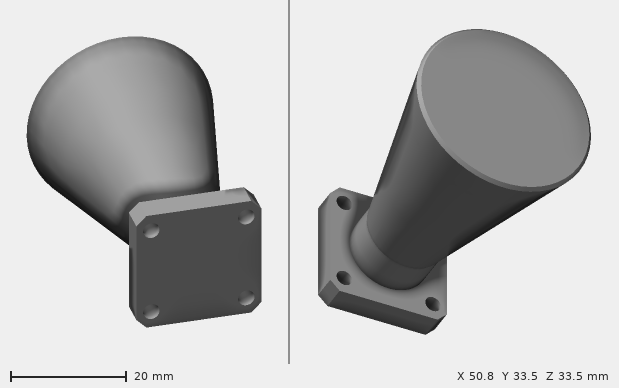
import cadquery as cq

TOTAL_LENGTH = 50.8
FLANGE_THICKNESS = 4.83
NECK_LENGTH = 6.86

MOUTH_DIAMETER = 33.47
MOUTH_CHAMFER = 0.6
NECK_DIAMETER = 15.1

FLANGE_SIDE = 22.4
FLANGE_CORNER_CHAMFER = 1.8
BOLT_SPACING_Y = 17.02
BOLT_SPACING_Z = 16.26
BOLT_HOLE_DIAMETER = 2.95

FLANGE_START = TOTAL_LENGTH - FLANGE_THICKNESS
NECK_START = FLANGE_START - NECK_LENGTH


def make_horn():
    """Solid cone and neck, revolved about the X axis."""
    mouth_radius = MOUTH_DIAMETER / 2
    neck_radius = NECK_DIAMETER / 2
    return (
        cq.Workplane("XZ")
        .moveTo(0, 0)
        .lineTo(0, mouth_radius - MOUTH_CHAMFER)
        .lineTo(MOUTH_CHAMFER, mouth_radius)
        .lineTo(NECK_START, neck_radius)
        .lineTo(FLANGE_START, neck_radius)
        .lineTo(FLANGE_START, 0)
        .close()
        .revolve(360, (0, 0, 0), (1, 0, 0))
    )


def make_flange():
    """Square plate with chamfered corners and four through holes."""
    return (
        cq.Workplane("YZ", origin=(FLANGE_START, 0, 0))
        .rect(FLANGE_SIDE, FLANGE_SIDE)
        .extrude(FLANGE_THICKNESS)
        .edges("|X")
        .chamfer(FLANGE_CORNER_CHAMFER)
        .faces(">X")
        .workplane(origin=(TOTAL_LENGTH, 0, 0))
        .rarray(BOLT_SPACING_Y, BOLT_SPACING_Z, 2, 2)
        .hole(BOLT_HOLE_DIAMETER)
    )


result = make_horn().union(make_flange())